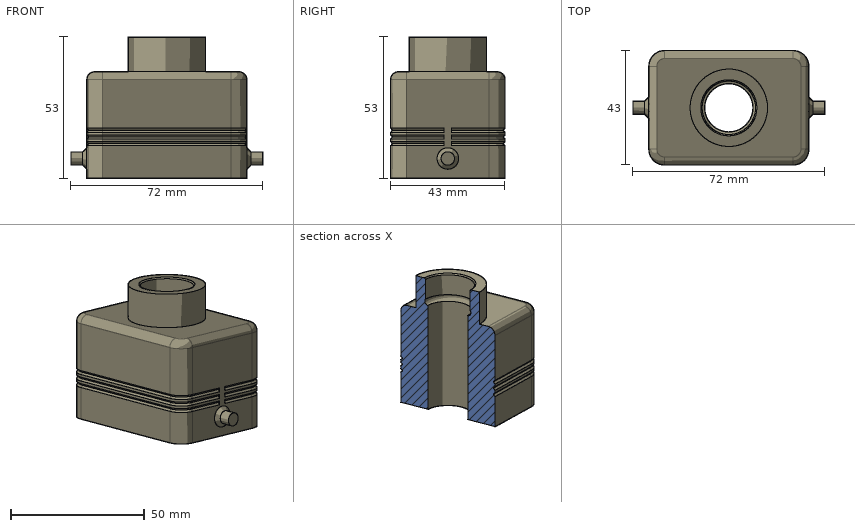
import cadquery as cq
import math

overall_length = 72.0
body_length = 60.05
body_width = 43.0
body_height = 40.0
corner_radius = 6.0
top_edge_radius = 3.0

overall_height = 53.0
collar_diameter = 29.0
collar_height = overall_height - body_height
bore_diameter = 20.0
bore_mouth_chamfer = 0.5
bore_depth = 10.8
passage_diameter = 18.0
bore_undercut_radius = 1.4

pin_diameter = 5.05
pin_height = 7.5
pin_foot_diameter = 8.1
pin_foot_length = (pin_foot_diameter - pin_diameter) / 2
pin_embedding = 0.7

groove_count = 3
groove_pitch = 2.5
groove_middle_height = 15.55
groove_width = 1.5
groove_taper = 45.0
groove_gap = 2.8


def make_body():
    body = cq.Workplane("XY").rect(body_length, body_width).extrude(body_height)
    body = body.edges("|Z").fillet(corner_radius)
    return body.faces(">Z").edges().fillet(top_edge_radius)


def make_groove(height):
    """Ring with a V profile whose root lies on the given height."""
    half_width = groove_width / 2
    outline = cq.Sketch().rect(body_length, body_width).vertices().fillet(corner_radius)
    lower_core = (
        cq.Workplane("XY")
        .workplane(offset=height - half_width)
        .placeSketch(outline)
        .extrude(half_width, taper=groove_taper)
    )
    upper_core = lower_core.mirror("XY", (0, 0, height))
    block = cq.Workplane("XY").box(body_length, body_width, groove_width)
    gap = cq.Workplane("XY").box(body_length, groove_gap, groove_width)
    ring = block.cut(gap).translate((0, 0, height))
    return ring.cut(lower_core).cut(upper_core)


def make_pin(side):
    """Pin with a conical foot; side is -1 or +1 along X."""
    wall = body_length / 2
    root = wall - pin_embedding
    foot_end = wall + pin_foot_length
    profile = [
        (root, 0),
        (root, pin_foot_diameter / 2),
        (wall, pin_foot_diameter / 2),
        (foot_end, pin_diameter / 2),
        (overall_length / 2, pin_diameter / 2),
        (overall_length / 2, 0),
    ]
    pin = cq.Workplane("XY").polyline(profile).close().revolve(360, (0, 0, 0), (1, 0, 0))
    if side < 0:
        pin = pin.mirror("YZ")
    return pin.translate((0, 0, pin_height))


def make_collar():
    base = cq.Workplane("XY").workplane(offset=body_height)
    return base.circle(collar_diameter / 2).extrude(collar_height)


def make_bore():
    """Bore with a chamfered mouth, a round undercut at its floor and a passage down through the body."""
    bore_radius = bore_diameter / 2
    passage_radius = passage_diameter / 2
    floor = overall_height - bore_depth
    undercut_center = floor + bore_undercut_radius
    undercut_rise = math.sqrt(bore_undercut_radius**2 - (bore_radius - passage_radius) ** 2)
    return (
        cq.Workplane("XZ")
        .lineTo(passage_radius, 0)
        .lineTo(passage_radius, floor)
        .threePointArc(
            (passage_radius + bore_undercut_radius, undercut_center),
            (bore_radius, undercut_center + undercut_rise),
        )
        .lineTo(bore_radius, overall_height - bore_mouth_chamfer)
        .lineTo(bore_radius + bore_mouth_chamfer, overall_height)
        .lineTo(0, overall_height)
        .close()
        .revolve(360, (0, 0, 0), (0, 1, 0))
    )


result = make_body()
for index in range(groove_count):
    offset = (index - (groove_count - 1) / 2) * groove_pitch
    result = result.cut(make_groove(groove_middle_height + offset))
for side in (-1, 1):
    result = result.union(make_pin(side))
result = result.union(make_collar()).cut(make_bore())